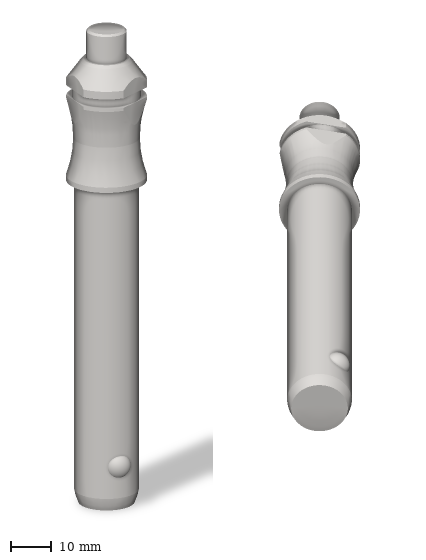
import cadquery as cq
import math

TOTAL_LENGTH = 123.5

SHANK_RADIUS = 8.0
TIP_RADIUS = 7.0
LEAD_IN_HEIGHT = 3.35
LEAD_IN_BULGE = 0.15

BALL_RADIUS = 3.25
BALL_REACH = 9.6
BALL_Z = 11.5

HANDLE_RADIUS = 10.0
WAIST_RADIUS = 8.25
HANDLE_BOTTOM_Z = 84.0
LOWER_RIM_HEIGHT = 1.35
WAIST_Z = 95.2
UPPER_RIM_HEIGHT = 0.75
GROOVE_BOTTOM_Z = 105.9
GROOVE_WIDTH = 2.5
GROOVE_RADIUS = 8.5

HEAD_RIM_HEIGHT = 2.0
HEAD_CONE_TOP_RADIUS = 6.5
HEAD_CONE_HEIGHT = 4.8
HEAD_EDGE_BREAK_RADIUS = 5.85
HEAD_TOP_Z = 115.9

BUTTON_RADIUS = 5.0
BUTTON_CHAMFER = 0.5

FLAT_COUNT = 3
FLAT_WIDTH = 10.0
FLAT_FIRST_ANGLE = -90.0


def waist_arc_midpoint(rim_radius, rim_z):
    """Midpoint of the handle arc that is vertical at the waist and ends on a rim."""
    rise = rim_z - WAIST_Z
    flare = rim_radius - WAIST_RADIUS
    arc_radius = (rise**2 + flare**2) / (2 * flare)
    half_angle = math.asin(rise / arc_radius) / 2
    mid_radius = WAIST_RADIUS + arc_radius * (1 - math.cos(half_angle))
    return mid_radius, WAIST_Z + arc_radius * math.sin(half_angle)


def make_turned_body():
    """Shank, handle, head and button as one revolved profile."""
    lower_rim_z = HANDLE_BOTTOM_Z + LOWER_RIM_HEIGHT
    upper_rim_z = GROOVE_BOTTOM_Z - UPPER_RIM_HEIGHT
    head_bottom_z = GROOVE_BOTTOM_Z + GROOVE_WIDTH
    cone_bottom_z = head_bottom_z + HEAD_RIM_HEIGHT
    lead_in_mid = ((TIP_RADIUS + SHANK_RADIUS) / 2 + LEAD_IN_BULGE, LEAD_IN_HEIGHT / 2)

    profile = (
        cq.Workplane("XZ")
        .lineTo(TIP_RADIUS, 0)
        .threePointArc(lead_in_mid, (SHANK_RADIUS, LEAD_IN_HEIGHT))
        .lineTo(SHANK_RADIUS, HANDLE_BOTTOM_Z)
        .lineTo(HANDLE_RADIUS, HANDLE_BOTTOM_Z)
        .lineTo(HANDLE_RADIUS, lower_rim_z)
        .threePointArc(waist_arc_midpoint(HANDLE_RADIUS, lower_rim_z), (WAIST_RADIUS, WAIST_Z))
        .threePointArc(waist_arc_midpoint(HANDLE_RADIUS, upper_rim_z), (HANDLE_RADIUS, upper_rim_z))
        .lineTo(HANDLE_RADIUS, GROOVE_BOTTOM_Z)
        .lineTo(GROOVE_RADIUS, GROOVE_BOTTOM_Z)
        .lineTo(GROOVE_RADIUS, head_bottom_z)
        .lineTo(HANDLE_RADIUS, head_bottom_z)
        .lineTo(HANDLE_RADIUS, cone_bottom_z)
        .lineTo(HEAD_CONE_TOP_RADIUS, cone_bottom_z + HEAD_CONE_HEIGHT)
        .lineTo(HEAD_EDGE_BREAK_RADIUS, HEAD_TOP_Z)
        .lineTo(BUTTON_RADIUS, HEAD_TOP_Z)
        .lineTo(BUTTON_RADIUS, TOTAL_LENGTH - BUTTON_CHAMFER)
        .lineTo(BUTTON_RADIUS - BUTTON_CHAMFER, TOTAL_LENGTH)
        .lineTo(0, TOTAL_LENGTH)
        .close()
    )
    return profile.revolve(360, (0, 0, 0), (0, 1, 0))


def cut_grip_flats(body):
    """Evenly spaced flats, cut from the waist up to the top of the head."""
    flat_distance = math.sqrt(HANDLE_RADIUS**2 - (FLAT_WIDTH / 2) ** 2)
    flat_height = HEAD_TOP_Z - WAIST_Z
    cutter = (
        cq.Workplane("XY")
        .box(HANDLE_RADIUS, 2 * HANDLE_RADIUS, flat_height, centered=(False, True, False))
        .translate((flat_distance, 0, WAIST_Z))
    )
    for index in range(FLAT_COUNT):
        angle = FLAT_FIRST_ANGLE + index * 360 / FLAT_COUNT
        body = body.cut(cutter.rotate((0, 0, 0), (0, 0, 1), angle))
    return body


def add_locking_balls(body):
    """Two balls standing out of the shank on opposite sides along X."""
    for side in (-1, 1):
        centre = (side * (BALL_REACH - BALL_RADIUS), 0, BALL_Z)
        body = body.union(cq.Workplane("XY").sphere(BALL_RADIUS).translate(centre))
    return body


result = add_locking_balls(cut_grip_flats(make_turned_body()))